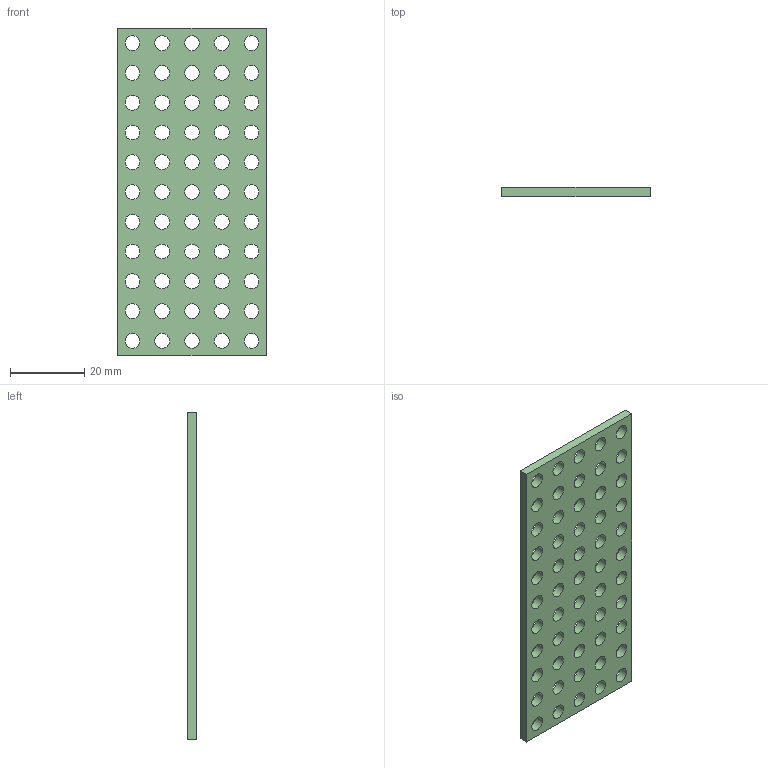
import cadquery as cq

hole_pitch = 8.0
hole_columns = 5
hole_rows = 11
hole_diameter = 4.0
plate_thickness = 2.5

plate_width = hole_columns * hole_pitch
plate_height = hole_rows * hole_pitch


def make_plate():
    """Plain rectangular plate centred on the origin."""
    return cq.Workplane("XY").box(plate_width, plate_thickness, plate_height)


def drill_hole_grid(plate):
    """Drill the regular grid of through holes along Y."""
    return (
        plate.faces("<Y")
        .workplane(centerOption="CenterOfBoundBox")
        .rarray(hole_pitch, hole_pitch, hole_columns, hole_rows)
        .hole(hole_diameter)
    )


result = drill_hole_grid(make_plate())